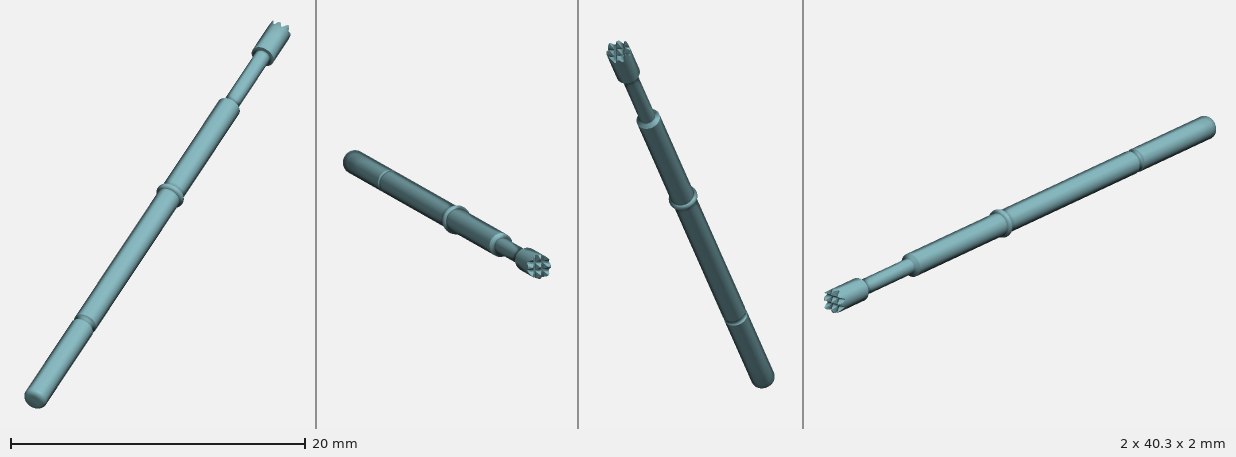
import cadquery as cq
import math

total_length = 40.3
head_length = 3.0
barrel_start = 8.25
collar_station = 18.05
groove_station = 32.15

head_diameter = 1.65
plunger_diameter = 1.1
barrel_diameter = 1.65
collar_diameter = 2.0

collar_width = 0.5
groove_width = 0.5
groove_depth = 0.15
mouth_taper_length = 0.25
tail_radius = 0.4

tooth_pitch = 0.55
tooth_cap_height = 0.3
outer_bevel_height = 0.22
slot_depth = 0.52
slot_neck_width = 0.28
slot_root_width = 0.1

tip_y = collar_station
tail_y = tip_y - total_length


def cylinder(diameter, start_y, end_y):
    """Solid round bar along the Y axis."""
    bar = cq.Workplane("XZ", origin=(0, end_y, 0)).circle(diameter / 2)
    return bar.extrude(end_y - start_y)


def make_barrel():
    """Barrel with a tapered mouth, rounded collar, round-bottomed groove and rounded tail."""
    radius = barrel_diameter / 2
    mouth_y = tip_y - barrel_start
    groove_y = tip_y - groove_station
    half_groove = groove_width / 2
    half_collar = collar_width / 2
    tail_blend = tail_radius * (1 - math.sqrt(0.5))
    profile = (
        cq.Workplane("XY")
        .moveTo(0, tail_y)
        .lineTo(radius - tail_radius, tail_y)
        .threePointArc((radius - tail_blend, tail_y + tail_blend), (radius, tail_y + tail_radius))
        .lineTo(radius, groove_y - half_groove)
        .threePointArc((radius - groove_depth, groove_y), (radius, groove_y + half_groove))
        .lineTo(radius, -half_collar)
        .threePointArc((collar_diameter / 2, 0), (radius, half_collar))
        .lineTo(radius, mouth_y - mouth_taper_length)
        .lineTo(plunger_diameter / 2, mouth_y)
        .lineTo(0, mouth_y)
        .close()
    )
    return profile.revolve(360, (0, 0, 0), (0, 1, 0))


def cut_both_ways(body, outline):
    """Sweep a cutter outline through the head along Z, then again along X."""
    cutter = cq.Workplane("XY").polyline(outline).close().extrude(head_diameter / 2, both=True)
    return body.cut(cutter).cut(cutter.rotate((0, 0, 0), (0, 1, 0), 90))


def slot_outline(side):
    """Tapered slot between two tooth rows, flaring out to the tips on either side."""
    center = side * tooth_pitch / 2
    half_flare = tooth_pitch / 2
    half_neck = slot_neck_width / 2
    half_root = slot_root_width / 2
    neck_y = tip_y - tooth_cap_height
    root_y = tip_y - slot_depth
    return [
        (center - half_flare, tip_y),
        (center - half_neck, neck_y),
        (center - half_root, root_y),
        (center + half_root, root_y),
        (center + half_neck, neck_y),
        (center + half_flare, tip_y),
    ]


def outer_bevel_outline(side):
    """Sloping outer flank of a tooth row, falling from the tips to the head surface."""
    tip_x = side * tooth_pitch
    foot_x = side * head_diameter / 2
    foot_y = tip_y - outer_bevel_height
    return [(tip_x, tip_y), (foot_x, foot_y), (foot_x, tip_y)]


def make_head():
    """Cylindrical head whose end is cut into a 3 x 3 grid of pointed teeth."""
    head = cylinder(head_diameter, tip_y - head_length, tip_y)
    for side in (-1, 1):
        head = cut_both_ways(head, slot_outline(side))
        head = cut_both_ways(head, outer_bevel_outline(side))
    return head


plunger = cylinder(plunger_diameter, tip_y - barrel_start, tip_y - head_length)
result = make_barrel().union(plunger).union(make_head())